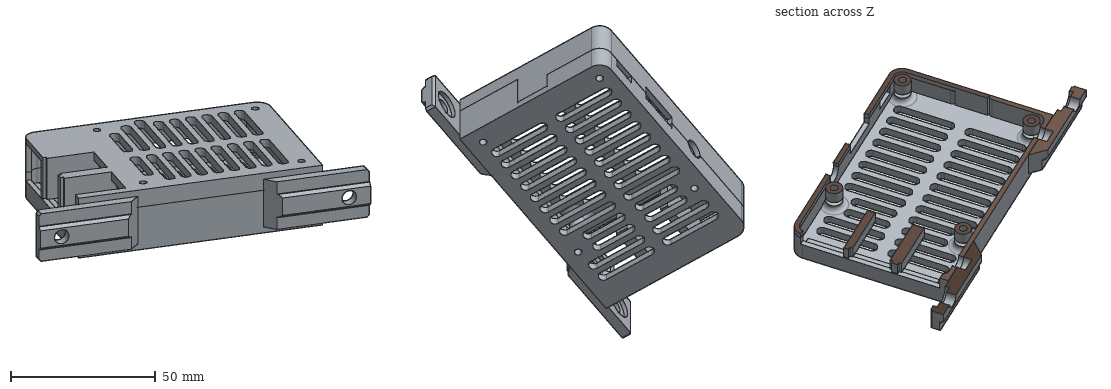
import cadquery as cq


CASE_X = 60.4
CASE_Y = 89.5
CASE_Z = 22.5
CASE_FRONT = -CASE_Y / 2
CORNER_RADIUS = 5.0
WALL = 1.9
FLOOR = 3.0
CEILING = CASE_Z - FLOOR

PARTING_LOW = 9.6
PARTING_HIGH = 16.1
TONGUE_LEFT = 23.8
TONGUE_RIGHT = 36.1
JAMB_RADIUS = 1.7

HOLE_DIAMETER = 2.5
POST_RADIUS = 3.0
POST_X = (5.5, 54.4)
POST_Y = (-19.0, 39.0)
LOWER_POST_TOP = 5.5
UPPER_POST_END = 7.0
UPPER_POST_FLARE = 3.0
LOWER_POST_FLARE = 1.9

SLOT_WIDTH = 3.6
SLOT_PITCH = 5.9
FIRST_ROW_Y = 32.7
LONG_SLOTS = ((5.1, 27.9), (32.1, 54.9))
SHORT_SLOTS = ((10.2, 27.1), (32.1, 49.1))
EXTENDED_SLOTS = ((2.2, 27.9), (32.1, 54.9))
FLOOR_ROWS = 12
FLOOR_SHORT_ROWS = (8, 9)
ROOF_ROWS = 9
ROOF_SHORT_ROW = 8
ROOF_EXTENDED_ROW = 6

BAY_LEFT = 4.1
BAY_RIGHT = 57.0
SILL_TOP = 6.5
PLATE_LEFT = 20.5
PLATE_RIGHT = 23.5
DIVIDER_LEFT = 37.6
DIVIDER_RIGHT = 42.0
DIVIDER_REAR = -24.4
BAY_REAR = -26.4
REBATE = 1.1
POCKET_TOP = 20.6
POCKET_REAR = -22.7

LEDGE_LEFT = 5.0
LEDGE_RIGHT = 54.8
LEDGE_REAR = -40.0

SMALL_PORT_Y = (27.6, 36.4)
SMALL_PORT_BOTTOM = 5.9
WIDE_PORT_Y = (2.7, 18.5)
WIDE_PORT_Z = (7.0, 13.1)
ROUND_PORT_DIAMETER = 7.0
ROUND_PORT_Y = -10.9

TOTAL_Y = 121.2
MID_Z = CASE_Z / 2
BRACKET_HEIGHT = 17.9
BRACKET_THICKNESS = 3.6
BRACKET_INNER_Y = 23.0
RIDGE_HEIGHT = 1.6
RIDGE_BASE = 8.7
RIDGE_BEVEL = 1.1
END_CHAMFER = 0.8
MOUNT_HOLE_Y = 52.7
MOUNT_HOLE_DIAMETER = 5.2
MOUNT_RECESS_DIAMETER = 10.2
MOUNT_RECESS_DEPTH = 1.5
BOLT_Y = 34.5
BOLT_DIAMETER = 5.3
BOLT_DEPTH = 3.0


def block(x_range, y_range, z_range):
    """Box spanning the given ranges."""
    size = [end - start for start, end in (x_range, y_range, z_range)]
    corner = (x_range[0], y_range[0], z_range[0])
    return cq.Workplane("XY").box(*size, centered=False).translate(corner)


def case_block():
    """Full case envelope with rounded left corners."""
    case = block((0, CASE_X), (CASE_FRONT, -CASE_FRONT), (0, CASE_Z))
    return case.edges("|Z and <X").fillet(CORNER_RADIUS)


def cavity():
    """Inner space between floor and ceiling, rounded in all four corners."""
    y_end = CASE_Y / 2 - WALL
    space = block((WALL, CASE_X - WALL), (-y_end, y_end), (FLOOR, CEILING))
    return space.edges("|Z").fillet(CORNER_RADIUS - WALL)


def tongue():
    """Part of the upper shell's rear wall that reaches down to the floor."""
    y_range = (CASE_Y / 2 - WALL, CASE_Y / 2)
    return block((TONGUE_LEFT, TONGUE_RIGHT), y_range, (FLOOR, CASE_Z))


def upper_zone():
    """Everything above the stepped parting."""
    y_range = (CASE_FRONT, -CASE_FRONT)
    left = block((0, TONGUE_RIGHT), y_range, (PARTING_LOW, CASE_Z))
    right = block((TONGUE_RIGHT, CASE_X), y_range, (PARTING_HIGH, CASE_Z))
    return left.union(right).union(tongue())


def post(root_z, end_z, flare):
    """Round post from root_z to end_z, flaring out to the root surface."""
    direction = 1 if end_z > root_z else -1
    wide = POST_RADIUS + flare
    flare_end = root_z + direction * flare
    mid = flare * (1 - 0.5 ** 0.5)
    return (
        cq.Workplane("XZ")
        .moveTo(0, root_z)
        .lineTo(wide, root_z)
        .threePointArc((POST_RADIUS + mid, root_z + direction * mid), (POST_RADIUS, flare_end))
        .lineTo(POST_RADIUS, end_z)
        .lineTo(0, end_z)
        .close()
        .revolve(360, (0, 0, 0), (0, 1, 0))
    )


def add_posts(shell, root_z, end_z, flare):
    """Put a post at each screw position, kept inside the case outline."""
    for x in POST_X:
        for y in POST_Y:
            placed = post(root_z, end_z, flare).translate((x, y, 0))
            shell = shell.union(placed.intersect(case_block()))
    return shell


def screw_holes():
    """Four screw holes through the whole case."""
    points = [(x, y) for x in POST_X for y in POST_Y]
    return cq.Workplane("XY").pushPoints(points).circle(HOLE_DIAMETER / 2).extrude(CASE_Z)


def slot_row(row, spans, z_start, height):
    """Cutter for the two slots of one row."""
    y = FIRST_ROW_Y - row * SLOT_PITCH
    slots = cq.Workplane("XY").workplane(offset=z_start)
    for x_start, x_end in spans:
        slots = slots.moveTo((x_start + x_end) / 2, y).slot2D(x_end - x_start, SLOT_WIDTH)
    return slots.extrude(height)


def ports():
    """Cutters for the three ports in the left wall."""
    x_range = (0, WALL)
    small = block(x_range, SMALL_PORT_Y, (SMALL_PORT_BOTTOM, PARTING_LOW))
    wide = block(x_range, WIDE_PORT_Y, WIDE_PORT_Z)
    circle = (
        cq.Workplane("YZ")
        .center(ROUND_PORT_Y, PARTING_LOW)
        .circle(ROUND_PORT_DIAMETER / 2)
        .extrude(WALL)
    )
    return small.union(wide).union(circle)


def bolt_hole(y):
    """Blind bolt hole through the right wall and on into a bracket."""
    wall_face = cq.Workplane("YZ", origin=(CASE_X - WALL, y, MID_Z))
    return wall_face.circle(BOLT_DIAMETER / 2).extrude(WALL + BOLT_DEPTH)


def front_opening():
    """Opening through the front wall and its rounded inner corners, above the sill."""
    y_range = (CASE_FRONT, CASE_FRONT + CORNER_RADIUS)
    return block((BAY_LEFT, BAY_RIGHT), y_range, (SILL_TOP, CEILING))


def make_lower_shell():
    shell = case_block().cut(cavity()).cut(upper_zone())

    inner_y = CASE_Y / 2 - WALL
    low_jamb = cq.selectors.NearestToPointSelector((TONGUE_LEFT, inner_y, PARTING_LOW / 2))
    high_jamb = cq.selectors.NearestToPointSelector((TONGUE_RIGHT, inner_y, PARTING_HIGH / 2))
    shell = shell.edges("|Z").edges(low_jamb + high_jamb).fillet(JAMB_RADIUS)

    shell = shell.cut(front_opening())
    ledge_y = (CASE_FRONT + WALL, LEDGE_REAR)
    shell = shell.union(block((LEDGE_LEFT, LEDGE_RIGHT), ledge_y, (FLOOR, LOWER_POST_TOP)))
    shell = add_posts(shell, FLOOR, LOWER_POST_TOP, LOWER_POST_FLARE)

    for row in range(FLOOR_ROWS):
        spans = SHORT_SLOTS if row in FLOOR_SHORT_ROWS else LONG_SLOTS
        shell = shell.cut(slot_row(row, spans, 0, FLOOR + LOWER_POST_FLARE))
    for y in (-BOLT_Y, BOLT_Y):
        shell = shell.cut(bolt_hole(y))
    return shell.cut(screw_holes()).cut(ports())


def bay_cutouts():
    """Two open-front cutouts in the roof, with a rebate along the front edge."""
    z_range = (SILL_TOP, CASE_Z)
    deep = (CASE_FRONT, BAY_REAR)
    shallow = (CASE_FRONT, CASE_FRONT + REBATE)
    return (
        block((PLATE_RIGHT, DIVIDER_LEFT), deep, z_range)
        .union(block((DIVIDER_RIGHT, BAY_RIGHT), deep, (CEILING, CASE_Z)))
        .union(block((PLATE_RIGHT - REBATE, DIVIDER_LEFT + REBATE), shallow, z_range))
        .union(block((DIVIDER_RIGHT - REBATE, BAY_RIGHT), shallow, z_range))
    )


def make_upper_shell():
    shell = case_block().cut(cavity()).intersect(upper_zone())
    shell = shell.cut(front_opening())
    shell = add_posts(shell, CEILING, UPPER_POST_END, UPPER_POST_FLARE)

    pocket_y = (CASE_FRONT, POCKET_REAR)
    pocket = block((BAY_LEFT, PLATE_LEFT), pocket_y, (CEILING - UPPER_POST_FLARE, POCKET_TOP))
    shell = shell.cut(pocket)

    plate_y = (CASE_FRONT, DIVIDER_REAR)
    plate_z = (UPPER_POST_END, CEILING)
    shell = shell.union(block((PLATE_LEFT, PLATE_RIGHT), plate_y, plate_z))
    shell = shell.union(block((DIVIDER_LEFT, DIVIDER_RIGHT), plate_y, plate_z))
    shell = shell.cut(bay_cutouts())

    slot_bottom = CEILING - UPPER_POST_FLARE
    for row in range(ROOF_ROWS):
        spans = LONG_SLOTS
        if row == ROOF_SHORT_ROW:
            spans = SHORT_SLOTS
        elif row == ROOF_EXTENDED_ROW:
            spans = EXTENDED_SLOTS
        shell = shell.cut(slot_row(row, spans, slot_bottom, CASE_Z - slot_bottom))
    return shell.cut(screw_holes()).cut(ports())


def make_bracket(side):
    """Bracket on the right wall; side is +1 towards +Y and -1 towards -Y."""
    plate_face = CASE_X + BRACKET_THICKNESS
    ridge_face = plate_face + RIDGE_HEIGHT
    outer_y = TOTAL_Y / 2
    length = outer_y - BRACKET_INNER_Y

    plate = block(
        (CASE_X, plate_face),
        (BRACKET_INNER_Y, outer_y),
        (MID_Z - BRACKET_HEIGHT / 2, MID_Z + BRACKET_HEIGHT / 2),
    )
    end_edges = plate.faces(">Y").edges("<X or >Z or <Z")
    plate = plate.newObject(end_edges.vals()).chamfer(END_CHAMFER)

    ridge = (
        cq.Workplane("XZ", origin=(0, outer_y, 0))
        .moveTo(plate_face, MID_Z - RIDGE_BASE / 2)
        .lineTo(ridge_face - RIDGE_BEVEL, MID_Z - RIDGE_BASE / 2)
        .lineTo(ridge_face, MID_Z - RIDGE_BASE / 2 + RIDGE_BEVEL)
        .lineTo(ridge_face, MID_Z + RIDGE_BASE / 2 - RIDGE_BEVEL)
        .lineTo(ridge_face - RIDGE_BEVEL, MID_Z + RIDGE_BASE / 2)
        .lineTo(plate_face, MID_Z + RIDGE_BASE / 2)
        .close()
        .extrude(length)
    )
    bracket = plate.union(ridge)

    depth = ridge_face - CASE_X
    slope = (
        cq.Workplane("XY")
        .moveTo(CASE_X, BRACKET_INNER_Y)
        .lineTo(ridge_face, BRACKET_INNER_Y)
        .lineTo(ridge_face, BRACKET_INNER_Y + depth)
        .close()
        .extrude(CASE_Z)
    )
    bracket = bracket.cut(slope)

    inner_face = cq.Workplane("YZ", origin=(CASE_X, 0, 0))
    mount = inner_face.center(MOUNT_HOLE_Y, MID_Z)
    bracket = bracket.cut(mount.circle(MOUNT_HOLE_DIAMETER / 2).extrude(depth))
    bracket = bracket.cut(mount.circle(MOUNT_RECESS_DIAMETER / 2).extrude(MOUNT_RECESS_DEPTH))
    bracket = bracket.cut(bolt_hole(BOLT_Y))

    return bracket if side > 0 else bracket.mirror("XZ")


lower_shell = make_lower_shell()
upper_shell = make_upper_shell()
brackets = [make_bracket(side) for side in (-1, 1)]

result = cq.Compound.makeCompound(
    [solid for body in (lower_shell, upper_shell, *brackets) for solid in body.solids().vals()]
)